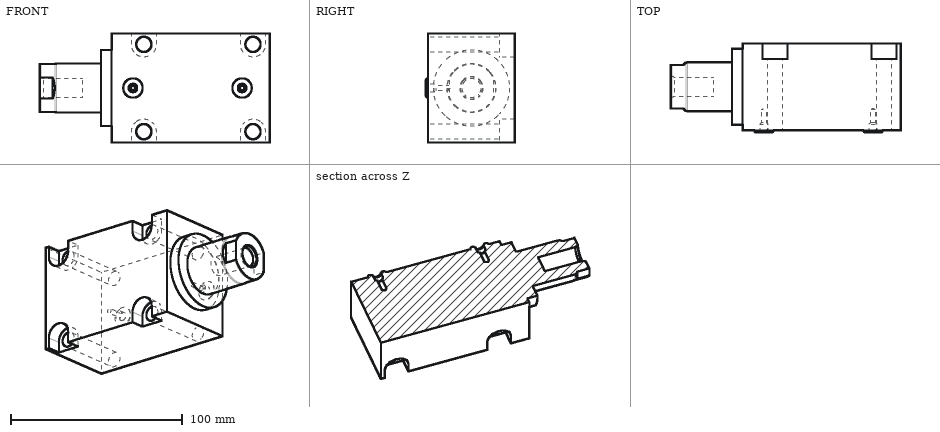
import cadquery as cq
import math

ROD_PROJECTION = 41.785
BLOCK_LENGTH = 92.075
BLOCK_DEPTH = 50.6
BLOCK_HEIGHT = 63.5
FRONT_Y = -BLOCK_DEPTH / 2
BACK_Y = BLOCK_DEPTH / 2

FLANGE_DIAMETER = 44.45
FLANGE_LENGTH = 6.2

SHAFT_DIAMETER = 28.575
NOSE_DIAMETER = 28.2
NOSE_LENGTH = 9.0
SHAFT_CHAMFER_LENGTH = 0.8
NOSE_CHAMFER_LENGTH = 0.75
NOSE_CHAMFER_DROP = 0.2
FLAT_SPACING = 25.4
FLAT_LENGTH = 7.4
FLAT_RAMP = (SHAFT_DIAMETER - FLAT_SPACING) / 2

ROD_HOLE_DIAMETER = 11.1
ROD_HOLE_DEPTH = 25.0
ROD_LEAD_IN_DIAMETER = 12.7
ROD_LEAD_IN_END = 2.2
ROD_HOLE_CHAMFER = 0.4

MOUNT_FIRST_X = 18.8
MOUNT_SPACING_X = 63.5
MOUNT_SPACING_Z = 50.8
MOUNT_HOLE_DIAMETER = 8.73
HEAD_SLOT_WIDTH = 14.6
HEAD_SLOT_DEPTH = 9.0

PORT_FIRST_X = 12.45
PORT_SPACING_X = MOUNT_SPACING_X
RING_SECTION_RADIUS = 1.6
RING_MEAN_RADIUS = 4.07
RING_PROTRUSION = 1.39
RING_CENTRE_Y = FRONT_Y - RING_PROTRUSION + RING_SECTION_RADIUS
PORT_BORE_RADIUS = 2.4
PORT_BORE_DEPTH = 3.5
PORT_DRILL_RADIUS = 1.35
PORT_DRILL_DEPTH = 12.0
DRILL_POINT_ANGLE = 118.0


def make_block():
    return cq.Workplane("XY").box(
        BLOCK_LENGTH, BLOCK_DEPTH, BLOCK_HEIGHT, centered=(False, True, True)
    )


def make_rod():
    """Flange, shaft and nose turned about the X axis."""
    tip_x = -ROD_PROJECTION
    nose_end_x = tip_x + NOSE_LENGTH
    nose_radius = NOSE_DIAMETER / 2
    shaft_radius = SHAFT_DIAMETER / 2
    flange_radius = FLANGE_DIAMETER / 2
    profile = (
        cq.Workplane("XY")
        .moveTo(0, 0)
        .lineTo(tip_x, 0)
        .lineTo(tip_x, nose_radius - NOSE_CHAMFER_DROP)
        .lineTo(tip_x + NOSE_CHAMFER_LENGTH, nose_radius)
        .lineTo(nose_end_x, nose_radius)
        .lineTo(nose_end_x + SHAFT_CHAMFER_LENGTH, shaft_radius)
        .lineTo(-FLANGE_LENGTH, shaft_radius)
        .lineTo(-FLANGE_LENGTH, flange_radius)
        .lineTo(0, flange_radius)
        .close()
    )
    return profile.revolve(360, (0, 0, 0), (1, 0, 0))


def make_wrench_flat(side):
    """Cutter for one flat; side is +1 or -1 along Y."""
    tip_x = -ROD_PROJECTION
    flat_y = side * FLAT_SPACING / 2
    outer_y = side * (FLAT_SPACING / 2 + FLAT_RAMP)
    flat_end_x = tip_x + FLAT_LENGTH
    return (
        cq.Workplane("XY")
        .moveTo(tip_x, flat_y)
        .lineTo(flat_end_x, flat_y)
        .lineTo(flat_end_x + FLAT_RAMP, outer_y)
        .lineTo(tip_x, outer_y)
        .close()
        .extrude(SHAFT_DIAMETER / 2, both=True)
    )


def make_rod_hole():
    """Flat-bottomed hole with a 45 degree edge chamfer and a tapered lead-in."""
    tip_x = -ROD_PROJECTION
    hole_radius = ROD_HOLE_DIAMETER / 2
    lead_in_radius = ROD_LEAD_IN_DIAMETER / 2
    bottom_x = tip_x + ROD_HOLE_DEPTH
    profile = (
        cq.Workplane("XY")
        .moveTo(tip_x, 0)
        .lineTo(tip_x, lead_in_radius + ROD_HOLE_CHAMFER)
        .lineTo(tip_x + ROD_HOLE_CHAMFER, lead_in_radius)
        .lineTo(tip_x + ROD_LEAD_IN_END, hole_radius)
        .lineTo(bottom_x, hole_radius)
        .lineTo(bottom_x, 0)
        .close()
    )
    return profile.revolve(360, (0, 0, 0), (1, 0, 0))


def make_mount_cut(x, side):
    """Through hole along Y plus a round-ended slot open to the back and to the Z face on its side."""
    z = side * MOUNT_SPACING_Z / 2
    edge_distance = (BLOCK_HEIGHT - MOUNT_SPACING_Z) / 2
    front_plane = cq.Workplane("XZ", origin=(x, FRONT_Y, z))
    hole = front_plane.circle(MOUNT_HOLE_DIAMETER / 2).extrude(-BLOCK_DEPTH)
    floor_plane = cq.Workplane("XZ", origin=(x, BACK_Y - HEAD_SLOT_DEPTH, z))
    round_end = floor_plane.circle(HEAD_SLOT_WIDTH / 2).extrude(-HEAD_SLOT_DEPTH)
    opening = (
        floor_plane.center(0, side * edge_distance / 2)
        .rect(HEAD_SLOT_WIDTH, edge_distance)
        .extrude(-HEAD_SLOT_DEPTH)
    )
    return hole.union(round_end).union(opening)


def make_port_bore(x):
    """Port bore tapering at 45 degrees into a blind drilled passage."""
    taper_end_y = FRONT_Y + PORT_BORE_DEPTH + PORT_BORE_RADIUS - PORT_DRILL_RADIUS
    drill_end_y = FRONT_Y + PORT_DRILL_DEPTH
    tip_length = PORT_DRILL_RADIUS / math.tan(math.radians(DRILL_POINT_ANGLE / 2))
    profile = (
        cq.Workplane("XY", origin=(x, 0, 0))
        .moveTo(0, FRONT_Y)
        .lineTo(PORT_BORE_RADIUS, FRONT_Y)
        .lineTo(PORT_BORE_RADIUS, FRONT_Y + PORT_BORE_DEPTH)
        .lineTo(PORT_DRILL_RADIUS, taper_end_y)
        .lineTo(PORT_DRILL_RADIUS, drill_end_y)
        .lineTo(0, drill_end_y + tip_length)
        .close()
    )
    return profile.revolve(360, (0, 0, 0), (0, 1, 0))


def make_seal_ring(x):
    return (
        cq.Workplane("XY", origin=(x, 0, 0))
        .center(RING_MEAN_RADIUS, RING_CENTRE_Y)
        .circle(RING_SECTION_RADIUS)
        .revolve(360, (-RING_MEAN_RADIUS, 0, 0), (-RING_MEAN_RADIUS, 1, 0))
    )


body = make_block().union(make_rod())
body = body.cut(make_rod_hole())
for y_side in (-1, 1):
    body = body.cut(make_wrench_flat(y_side))

for mount_x in (MOUNT_FIRST_X, MOUNT_FIRST_X + MOUNT_SPACING_X):
    for z_side in (-1, 1):
        body = body.cut(make_mount_cut(mount_x, z_side))

for port_x in (PORT_FIRST_X, PORT_FIRST_X + PORT_SPACING_X):
    body = body.cut(make_port_bore(port_x))
    body = body.union(make_seal_ring(port_x))

result = body